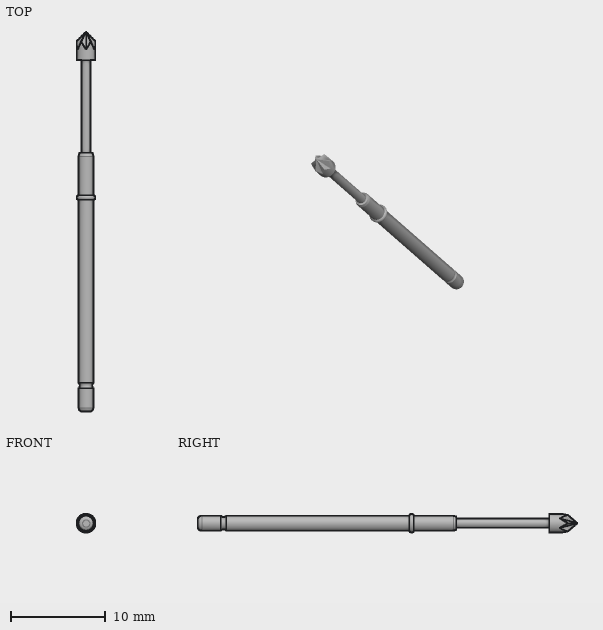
import cadquery as cq
import math

TOTAL_LENGTH = 40.2

BARREL_RADIUS = 0.8
BARREL_LENGTH = 27.4
TAIL_FILLET = 0.42
MOUTH_RADIUS = 0.7
MOUTH_TAPER_LENGTH = 0.35

GROOVE_CENTRE = 2.76
GROOVE_WIDTH = 0.6
GROOVE_DEPTH = 0.13

RING_CENTRE = 22.65
RING_WIDTH = 0.5
RING_RADIUS = 1.0

SHAFT_RADIUS = 0.5
HEAD_RADIUS = 1.0
HEAD_LENGTH = 3.0

RIDGE_COUNT = 6
RIDGE_DROP = 1.0
VALLEY_DROP = 1.85

HEAD_BASE = TOTAL_LENGTH - HEAD_LENGTH


def make_barrel():
    """Barrel with rounded tail, crimp groove, press ring and tapered mouth."""
    groove_half = GROOVE_WIDTH / 2
    ring_half = RING_WIDTH / 2
    fillet_sag = TAIL_FILLET * (1 - math.cos(math.pi / 4))
    profile = (
        cq.Workplane("YZ")
        .moveTo(0, 0)
        .lineTo(0, BARREL_RADIUS - TAIL_FILLET)
        .threePointArc((fillet_sag, BARREL_RADIUS - fillet_sag), (TAIL_FILLET, BARREL_RADIUS))
        .lineTo(GROOVE_CENTRE - groove_half, BARREL_RADIUS)
        .threePointArc(
            (GROOVE_CENTRE, BARREL_RADIUS - GROOVE_DEPTH),
            (GROOVE_CENTRE + groove_half, BARREL_RADIUS),
        )
        .lineTo(RING_CENTRE - ring_half, BARREL_RADIUS)
        .threePointArc((RING_CENTRE, RING_RADIUS), (RING_CENTRE + ring_half, BARREL_RADIUS))
        .lineTo(BARREL_LENGTH - MOUTH_TAPER_LENGTH, BARREL_RADIUS)
        .lineTo(BARREL_LENGTH, MOUTH_RADIUS)
        .lineTo(BARREL_LENGTH, 0)
        .close()
    )
    return profile.revolve(360, (0, 0, 0), (1, 0, 0))


def make_cylinder(radius, start, end):
    """Round bar along Y, with its seam on the -X side."""
    profile = cq.Workplane("XY").moveTo(0, start).lineTo(-radius, start).lineTo(-radius, end)
    return profile.lineTo(0, end).close().revolve(360, (0, 0, 0), (0, 1, 0))


def make_star_pyramid():
    """Star-based pyramid with its apex at the probe tip and its base level with the head underside."""
    apex = cq.Vector(0, TOTAL_LENGTH, 0)
    ridge_reach = HEAD_LENGTH / RIDGE_DROP
    valley_reach = HEAD_LENGTH / VALLEY_DROP
    corners = []
    for index in range(2 * RIDGE_COUNT):
        angle = math.pi * index / RIDGE_COUNT
        reach = ridge_reach if index % 2 == 0 else valley_reach
        corners.append(cq.Vector(reach * math.cos(angle), HEAD_BASE, reach * math.sin(angle)))

    faces = [cq.Face.makeFromWires(cq.Wire.makePolygon(corners, close=True))]
    for index, corner in enumerate(corners):
        previous = corners[index - 1]
        faces.append(cq.Face.makeFromWires(cq.Wire.makePolygon([previous, corner, apex], close=True)))
    return cq.Workplane(obj=cq.Solid.makeSolid(cq.Shell.makeShell(faces)))


def make_head():
    """Round head blank sharpened to the star point."""
    blank = make_cylinder(HEAD_RADIUS, HEAD_BASE, TOTAL_LENGTH)
    return blank.intersect(make_star_pyramid())


shaft = make_cylinder(SHAFT_RADIUS, BARREL_LENGTH, HEAD_BASE)
result = make_barrel().union(shaft).union(make_head())